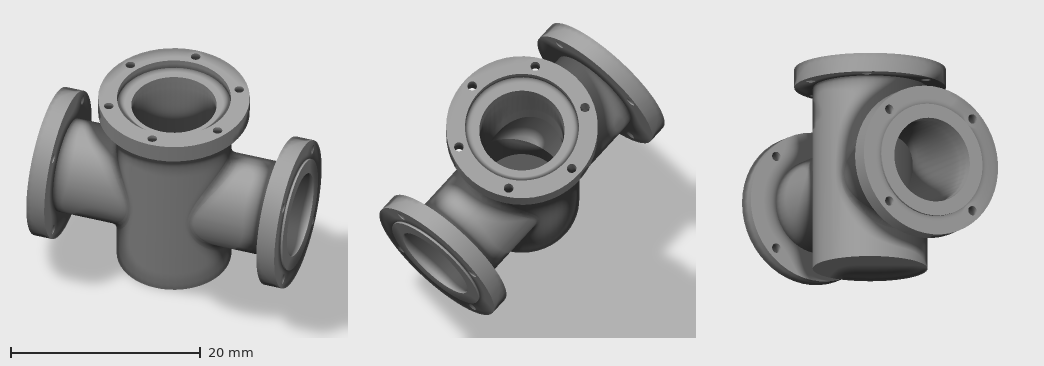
import cadquery as cq

overall_length = 28.0
flange_diameter = 16.0
flange_thickness = 2.0
bore_diameter = 9.0
body_diameter = 12.1
neck_diameter = 12.0
neck_height = 0.2
arm_diameter = 10.05
top_height = 12.52
bottom_depth = 9.0
floor_thickness = 1.5
junction_fillet = 0.85

face_diameter = 12.0
raised_face_height = 0.25
recess_depth = 1.0

bolt_hole_diameter = 1.0
bolt_circle_radius = 7.0
arm_bolt_count = 4
arm_bolt_start = 45.0
top_bolt_count = 6
top_bolt_start = 29.2

arm_reach = overall_length / 2
arm_flange_face = arm_reach - raised_face_height


def x_cylinder(diameter, start, end):
    """Cylinder on the X axis between two X positions."""
    return cq.Workplane("YZ", origin=(start, 0, 0)).circle(diameter / 2).extrude(end - start)


def z_cylinder(diameter, start, end):
    """Cylinder on the Z axis between two Z positions."""
    return cq.Workplane("XY", origin=(0, 0, start)).circle(diameter / 2).extrude(end - start)


def bolt_holes(plane, origin, count, start_angle):
    """Ring of bolt-hole cutters, one flange thickness deep along the plane normal."""
    return (
        cq.Workplane(plane, origin=origin)
        .polarArray(bolt_circle_radius, start_angle, 360, count)
        .circle(bolt_hole_diameter / 2)
        .extrude(flange_thickness)
    )


def pipe_cross():
    """Solid upright body and cross arm with blended junctions."""
    body = z_cylinder(body_diameter, -bottom_depth, top_height - flange_thickness - neck_height)
    cross = body.union(x_cylinder(arm_diameter, -arm_flange_face, arm_flange_face))
    return cross.edges("not(%CIRCLE or %LINE)").fillet(junction_fillet)


def arm_flange():
    """Drilled flange with a raised face on the +X arm."""
    flange_back = arm_flange_face - flange_thickness
    flange = x_cylinder(flange_diameter, flange_back, arm_flange_face)
    flange = flange.union(x_cylinder(face_diameter, arm_flange_face, arm_reach))
    return flange.cut(bolt_holes("YZ", (flange_back, 0, 0), arm_bolt_count, arm_bolt_start))


def top_flange():
    """Drilled flange on a slightly narrower neck at the top of the body."""
    flange_bottom = top_height - flange_thickness
    flange = z_cylinder(flange_diameter, flange_bottom, top_height)
    flange = flange.union(z_cylinder(neck_diameter, flange_bottom - neck_height, flange_bottom))
    return flange.cut(bolt_holes("XY", (0, 0, flange_bottom), top_bolt_count, top_bolt_start))


end_flange = arm_flange()
result = pipe_cross().union(top_flange()).union(end_flange).union(end_flange.mirror("YZ"))

result = result.cut(x_cylinder(bore_diameter, -arm_reach, arm_reach))
result = result.cut(z_cylinder(bore_diameter, floor_thickness - bottom_depth, top_height))
result = result.cut(z_cylinder(face_diameter, top_height - recess_depth, top_height))